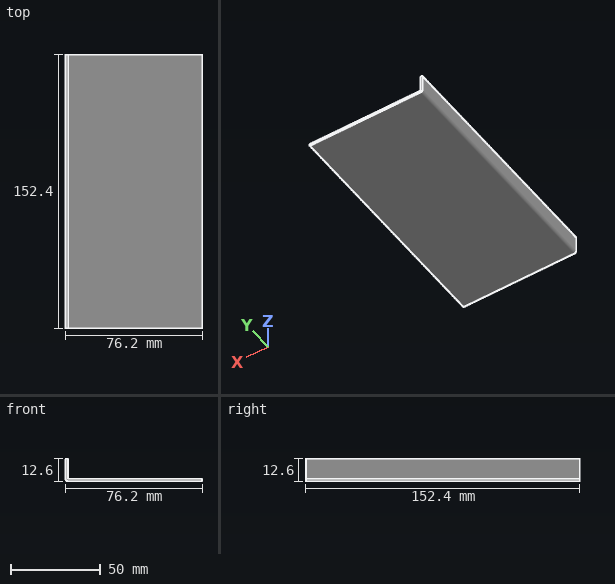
import cadquery as cq

width = 76.2
length = 152.4
height = 12.6
thickness = 1.5

edge_radius = thickness / 2
bend_radius = thickness


def angle_profile():
    """L-shaped section in the XZ plane, with its outer corner at the origin."""
    return (
        cq.Workplane("XZ")
        .moveTo(bend_radius, 0)
        .lineTo(width - edge_radius, 0)
        .threePointArc((width, edge_radius), (width - edge_radius, thickness))
        .lineTo(thickness, thickness)
        .lineTo(thickness, height - edge_radius)
        .threePointArc((edge_radius, height), (0, height - edge_radius))
        .lineTo(0, bend_radius)
        .radiusArc((bend_radius, 0), -bend_radius)
        .close()
    )


result = angle_profile().extrude(length / 2, both=True)